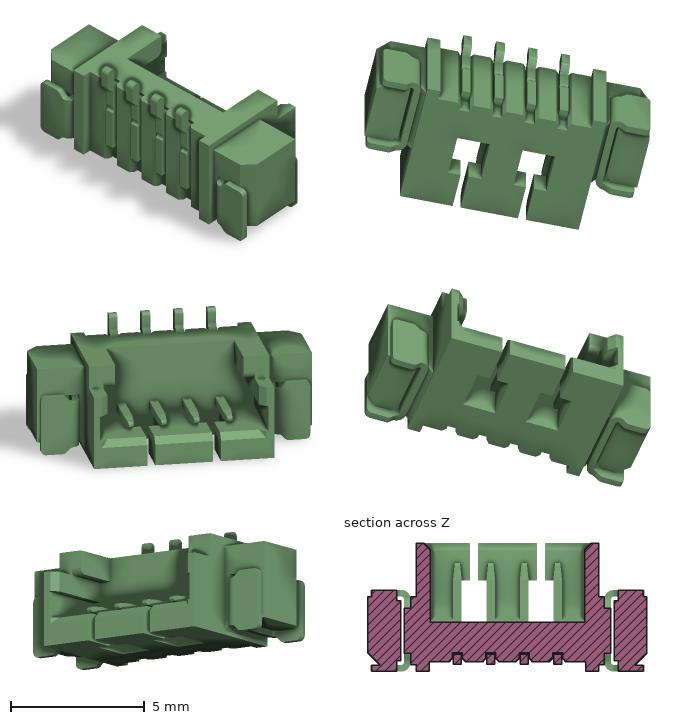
import cadquery as cq


contact_count = 4
pitch = 1.25
contact_width = 0.32
contact_xs = [(i - (contact_count - 1) / 2) * pitch for i in range(contact_count)]

housing_width = 6.85
housing_depth = 4.80
housing_height = 3.71
half_width = housing_width / 2
mouth_wall_height = 2.82
high_wall_depth = 3.78
front_recess = 0.35
end_strip_width = 0.50
rear_wall_y = 1.86

floor_height = 1.07
undercut_top = 2.07
undercut_half_width = 3.20
cavity_half_width = 2.88
upper_half_width = 2.44
mouth_chamfer = 0.25
rib_corner_radius = 0.27

window_end_y = 3.41
mouth_slot_width = 0.30
window_xs = [-pitch, pitch]

groove_half_width = 0.18
groove_mouth_half_width = 0.31
groove_flare_y = 0.50
groove_floor_y = 0.65
groove_pocket_y = 0.69
groove_ramp_bottom = 0.69
groove_ramp_top = 0.78

tail_top = 4.48
tail_thickness = 0.39
tail_tip_radius = 0.16
tail_bottom = 3.69
leg_upper_y = 0.30
leg_lower_y = 0.27
leg_back_y = groove_floor_y
leg_bottom = groove_ramp_top
leg_top = 3.42
notch_y = 0.38
notch_top = 2.68
notch_middle = 2.59
notch_bottom = 2.43
notch_radius = 0.105
bend_radius = 0.15
tail_heel_z = 3.88
beam_center_z = 1.36
beam_end_y = 3.43
beam_taper_end_y = 3.94
beam_taper_width = 0.22
beam_tip_y = 4.06
beam_tip_width = 0.18
beam_tip_height = 0.08

overall_width = 10.45
ear_outer_x = overall_width / 2
ear_front_y = 0.25
ear_back_y = 2.80
ear_bottom = 0.47
ear_top = 3.37
ear_chamfer = 0.45
gusset_bottom = 0.15

sheet = 0.25
tab_outer_x = 5.12
web_inner_x = 3.62
tab_bend_radius = 0.36
bend_start_x = web_inner_x + tab_bend_radius
plate_front_y = ear_front_y - sheet
plate_back_y = ear_back_y + sheet
plate_middle_y = (plate_front_y + plate_back_y) / 2
plate_bottom = 0.03
plate_top = 2.33
plate_corner_x = 4.22
plate_corner_radius = 0.20
plate_neck_radius = 0.18
strip_bottom = 0.28
strip_top = 2.07
web_top = 2.25
web_slope_depth = 0.30
web_slope_radius = 0.35
slot_outer_x = bend_start_x
slot_pocket_outer_x = 4.14
slot_pocket_depth = 0.15
slot_top = 2.27


def box(x0, x1, y0, y1, z0, z1):
    """Axis-aligned block between two opposite corners."""
    return cq.Workplane("XY").box(x1 - x0, y1 - y0, z1 - z0, centered=False).translate((x0, y0, z0))


def yz_prism(points, x0, x1):
    """Prism along X from a (y, z) outline."""
    return cq.Workplane("YZ").polyline(points).close().extrude(x1 - x0).translate((x0, 0, 0))


def xz_prism(points, y0, y1):
    """Prism along Y from an (x, z) outline."""
    return cq.Workplane("XZ").polyline(points).close().extrude(y0 - y1).translate((0, y0, 0))


def round_edge(solid, midpoint, radius):
    """Fillet the single edge whose middle lies at the given point."""
    return solid.edges(cq.selectors.NearestToPointSelector(midpoint)).fillet(radius)


def make_shell():
    """Solid side outline of the housing with the recessed front face."""
    outline = [
        (0, 0),
        (housing_depth, 0),
        (housing_depth, mouth_wall_height),
        (high_wall_depth, mouth_wall_height),
        (high_wall_depth, housing_height),
        (0, housing_height),
    ]
    shell = yz_prism(outline, -half_width, half_width)
    recess_half = half_width - end_strip_width
    return shell.cut(box(-recess_half, recess_half, 0, front_recess, 0, housing_height))


def cut_cavity(body):
    """Open the cavity: undercut at the floor, plain middle part, narrower top."""
    undercut = box(
        -undercut_half_width, undercut_half_width, rear_wall_y, housing_depth, floor_height, undercut_top
    )
    chamfer_y = housing_depth - mouth_chamfer
    flared_half = cavity_half_width + mouth_chamfer
    lip_height = floor_height - mouth_chamfer
    middle = (
        cq.Workplane("XY", origin=(0, 0, lip_height))
        .polyline([
            (-cavity_half_width, rear_wall_y),
            (cavity_half_width, rear_wall_y),
            (cavity_half_width, chamfer_y),
            (flared_half, housing_depth),
            (-flared_half, housing_depth),
            (-cavity_half_width, chamfer_y),
        ])
        .close()
        .extrude(mouth_wall_height - lip_height)
    )
    floor_profile = yz_prism(
        [
            (rear_wall_y, floor_height),
            (chamfer_y, floor_height),
            (housing_depth, lip_height),
            (housing_depth, mouth_wall_height),
            (rear_wall_y, mouth_wall_height),
        ],
        -flared_half,
        flared_half,
    )
    middle = middle.intersect(floor_profile)
    top = box(
        -upper_half_width, upper_half_width, rear_wall_y, housing_depth, mouth_wall_height, housing_height
    )
    corner_y = high_wall_depth - rib_corner_radius
    corner_z = mouth_wall_height + rib_corner_radius
    rib_corner = box(
        -cavity_half_width, cavity_half_width, corner_y, high_wall_depth, mouth_wall_height, corner_z
    ).cut(
        cq.Workplane("YZ")
        .center(corner_y, corner_z)
        .circle(rib_corner_radius)
        .extrude(cavity_half_width, both=True)
    )
    return body.cut(undercut).cut(middle).cut(top).cut(rib_corner)


def cut_floor_openings(body):
    """Windows one pitch wide, each with a narrow slot out to the mouth."""
    for x in window_xs:
        body = body.cut(box(x - pitch / 2, x + pitch / 2, rear_wall_y, window_end_y, 0, floor_height))
        slot_half = mouth_slot_width / 2
        body = body.cut(box(x - slot_half, x + slot_half, window_end_y, housing_depth, 0, floor_height))
    return body


def make_groove(x):
    """Flared vertical groove with a deeper pocket behind the contact leg."""
    groove = (
        cq.Workplane("XY")
        .polyline([
            (-groove_mouth_half_width, front_recess),
            (groove_mouth_half_width, front_recess),
            (groove_half_width, groove_flare_y),
            (groove_half_width, groove_floor_y),
            (-groove_half_width, groove_floor_y),
            (-groove_half_width, groove_flare_y),
        ])
        .close()
        .extrude(housing_height)
    )
    pocket = yz_prism(
        [
            (groove_floor_y, groove_ramp_bottom),
            (groove_pocket_y, groove_ramp_top),
            (groove_pocket_y, housing_height),
            (groove_floor_y, housing_height),
        ],
        -groove_half_width,
        groove_half_width,
    )
    return groove.union(pocket).translate((x, 0, 0))


def make_ear():
    """Right-hand ear with its tab slot and the gusset under its root."""
    ear = box(half_width, ear_outer_x, ear_front_y, ear_back_y, ear_bottom, ear_top)
    ear = ear.edges("|Z and >X and <Y").chamfer(ear_chamfer)
    gusset = xz_prism(
        [(half_width, gusset_bottom), (web_inner_x, ear_bottom), (half_width, ear_bottom)],
        ear_front_y,
        ear_back_y,
    )
    slot = box(web_inner_x, slot_outer_x, ear_front_y, ear_back_y, ear_bottom, slot_top)
    ear = ear.cut(slot)
    for y in [ear_front_y, ear_back_y - slot_pocket_depth]:
        pocket = box(web_inner_x, slot_pocket_outer_x, y, y + slot_pocket_depth, ear_bottom, slot_top)
        ear = ear.cut(pocket)
    return ear.union(gusset)


def make_tab():
    """Right-hand solder tab: two shaped plates joined by a bent web."""
    channel = box(web_inner_x, tab_outer_x, plate_front_y, plate_back_y, plate_bottom, plate_top)
    channel = channel.edges("|Z and <X").fillet(tab_bend_radius)
    inside = box(web_inner_x + sheet, tab_outer_x, ear_front_y, ear_back_y, plate_bottom, plate_top)
    inside = inside.edges("|Z and <X").fillet(tab_bend_radius - sheet)
    channel = channel.cut(inside)

    outline = xz_prism(
        [
            (web_inner_x, strip_bottom),
            (bend_start_x, strip_bottom),
            (plate_corner_x, plate_bottom),
            (tab_outer_x, plate_bottom),
            (tab_outer_x, plate_top),
            (plate_corner_x, plate_top),
            (bend_start_x, strip_top),
            (web_inner_x, strip_top),
        ],
        plate_front_y,
        plate_back_y,
    )
    for x, z, radius in [
        (tab_outer_x, plate_bottom, plate_corner_radius),
        (tab_outer_x, plate_top, plate_corner_radius),
        (plate_corner_x, plate_bottom, plate_corner_radius),
        (plate_corner_x, plate_top, plate_corner_radius),
        (bend_start_x, strip_bottom, plate_neck_radius),
        (bend_start_x, strip_top, plate_neck_radius),
    ]:
        outline = round_edge(outline, (x, plate_middle_y, z), radius)

    bend_end_y = plate_front_y + tab_bend_radius
    far_bend_end_y = plate_back_y - tab_bend_radius
    rise_start_y = bend_end_y + web_slope_depth
    rise_end_y = far_bend_end_y - web_slope_depth
    web = yz_prism(
        [
            (plate_front_y, strip_bottom),
            (plate_back_y, strip_bottom),
            (plate_back_y, strip_top),
            (far_bend_end_y, strip_top),
            (rise_end_y, web_top),
            (rise_start_y, web_top),
            (bend_end_y, strip_top),
            (plate_front_y, strip_top),
        ],
        web_inner_x,
        web_inner_x + sheet,
    )
    for y, z in [
        (bend_end_y, strip_top),
        (far_bend_end_y, strip_top),
        (rise_start_y, web_top),
        (rise_end_y, web_top),
    ]:
        web = round_edge(web, (web_inner_x + sheet / 2, y, z), web_slope_radius)
    return channel.intersect(outline).union(channel.intersect(web))


def make_contact(x):
    """Upright leg with a rounded tail, and a beam with a tapered tip in the cavity."""
    heel_bottom = tail_heel_z - (leg_back_y - tail_thickness)
    outline = [
        (0, tail_top),
        (tail_thickness, tail_top),
        (tail_thickness, tail_heel_z),
        (leg_back_y, heel_bottom),
        (leg_back_y, leg_bottom),
        (leg_lower_y, leg_bottom),
        (leg_lower_y, notch_bottom),
        (notch_y, notch_bottom),
        (notch_y, notch_middle),
        (leg_upper_y, notch_top),
        (leg_upper_y, leg_top),
        (0, tail_bottom),
    ]
    half = contact_width / 2
    leg = yz_prism(outline, -half, half)
    for y, z, radius in [
        (0, tail_top, tail_tip_radius),
        (tail_thickness, tail_top, tail_tip_radius),
        (tail_thickness, tail_heel_z, bend_radius),
        (0, tail_bottom, bend_radius),
        (leg_upper_y, leg_top, bend_radius),
        (notch_y, notch_bottom, notch_radius),
    ]:
        leg = round_edge(leg, (0, y, z), radius)

    beam = box(-half, half, leg_back_y, beam_end_y, beam_center_z - half, beam_center_z + half)
    taper = (
        cq.Workplane("XZ", origin=(0, beam_end_y, beam_center_z))
        .rect(contact_width, contact_width)
        .workplane(offset=beam_end_y - beam_taper_end_y)
        .rect(beam_taper_width, beam_taper_width)
        .loft()
    )
    tip = (
        cq.Workplane("XZ", origin=(0, beam_taper_end_y, beam_center_z))
        .rect(beam_taper_width, beam_taper_width)
        .workplane(offset=beam_taper_end_y - beam_tip_y)
        .rect(beam_tip_width, beam_tip_height)
        .loft()
    )
    return leg.union(beam).union(taper).union(tip).translate((x, 0, 0))


housing = cut_floor_openings(cut_cavity(make_shell()))
for contact_x in contact_xs:
    housing = housing.cut(make_groove(contact_x))

right_end = make_ear().union(make_tab())
result = housing.union(right_end).union(right_end.mirror("YZ"))
for contact_x in contact_xs:
    result = result.union(make_contact(contact_x))